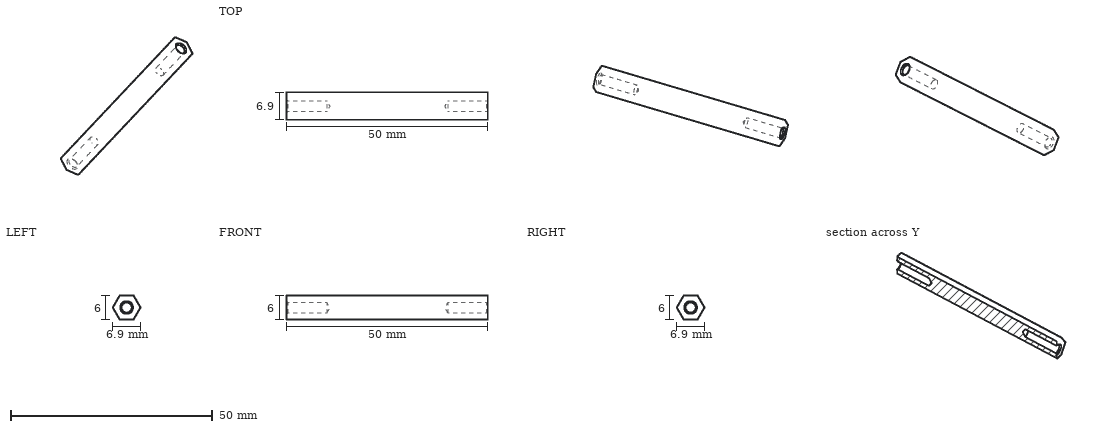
import cadquery as cq
import math

length = 50.0
across_flats = 6.0
edge_radius = 0.1

tap_drill_diameter = 2.5
countersink_diameter = 3.2
countersink_angle = 90.0
bore_depth = 10.0
drill_point_angle = 118.0

sharp_across_corners = across_flats / math.cos(math.radians(30))


def cone_depth(large_diameter, small_diameter, included_angle):
    """Axial length over which a cone narrows from one diameter to the other."""
    radius_drop = (large_diameter - small_diameter) / 2
    return radius_drop / math.tan(math.radians(included_angle / 2))


def hexagonal_bar():
    """Hexagonal bar centred on the origin, flats facing +Z and -Z, all edges rounded."""
    section = cq.Workplane("YZ").workplane(offset=-length / 2)
    bar = section.polygon(6, sharp_across_corners).extrude(length)
    bar = bar.edges("|X").fillet(edge_radius)
    return bar.faces("<X or >X").edges().fillet(edge_radius)


def tapped_hole():
    """Countersunk blind hole with a conical drill point, opening at the -X end face."""
    bore_radius = tap_drill_diameter / 2
    mouth_x = -length / 2
    countersink_x = mouth_x + cone_depth(countersink_diameter, tap_drill_diameter, countersink_angle)
    bore_x = mouth_x + bore_depth
    tip_x = bore_x + cone_depth(tap_drill_diameter, 0, drill_point_angle)
    half_profile = (
        cq.Workplane("XY")
        .moveTo(mouth_x, 0)
        .lineTo(mouth_x, countersink_diameter / 2)
        .lineTo(countersink_x, bore_radius)
        .lineTo(bore_x, bore_radius)
        .lineTo(tip_x, 0)
        .close()
    )
    return half_profile.revolve(360, (0, 0, 0), (1, 0, 0))


near_hole = tapped_hole()
far_hole = near_hole.mirror("YZ")
result = hexagonal_bar().cut(near_hole).cut(far_hole)